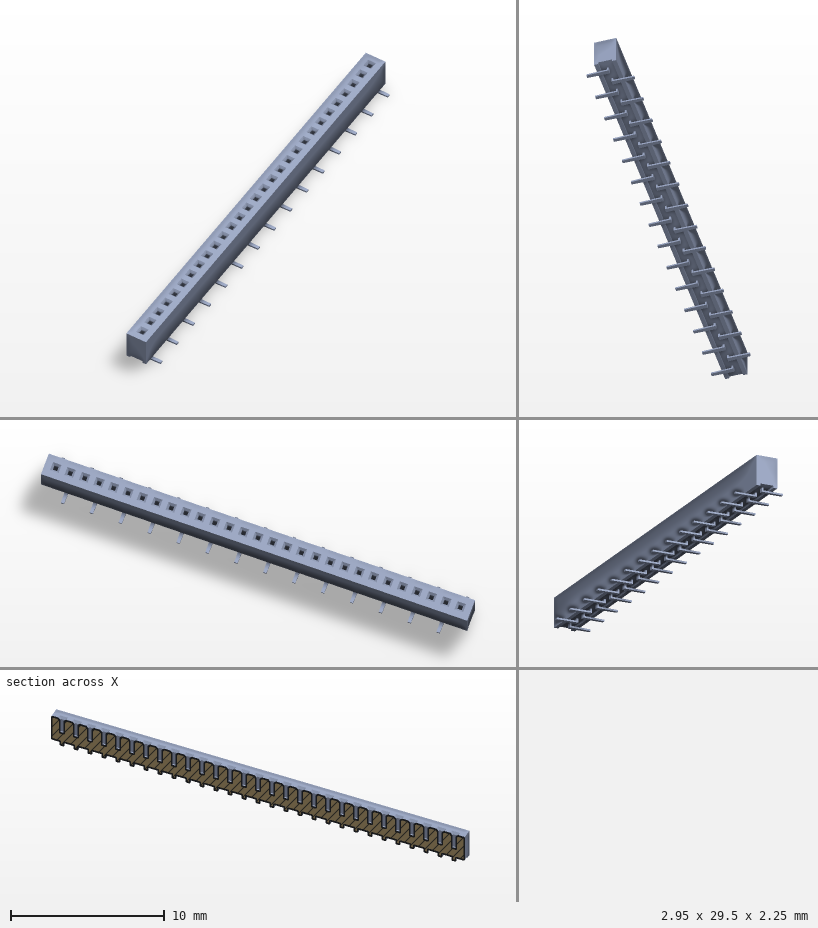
import cadquery as cq

contact_count = 29
body_length = 29.5
pitch = body_length / (contact_count + 0.5)
body_width = 1.5
total_width = 2.95
total_height = 2.25

body_bottom = 0.15
channel_width = 0.95
channel_top = 0.3

lead_in_size = 0.6
lead_in_depth = 0.15
socket_size = 0.3
socket_depth = 1.18

root_width = 0.3
tip_width = 0.22
tail_thickness = 0.12
post_thickness = 0.12


def contact_y(index):
    """Place of a contact along the row, which is centred on the origin."""
    return (index - (contact_count - 1) / 2) * pitch


def make_body():
    body = cq.Workplane("XY", origin=(0, 0, body_bottom)).box(
        body_width, body_length, total_height - body_bottom, centered=(True, True, False)
    )
    channel = cq.Workplane("XY").box(
        channel_width, body_length, channel_top, centered=(True, True, False)
    )
    return body.cut(channel)


def make_opening(y):
    lead_in = (
        cq.Workplane("XY", origin=(0, y, total_height))
        .rect(lead_in_size, lead_in_size)
        .workplane(offset=-lead_in_depth)
        .rect(socket_size, socket_size)
        .loft(ruled=True)
    )
    socket = cq.Workplane("XY", origin=(0, y, total_height - socket_depth)).box(
        socket_size, socket_size, socket_depth - lead_in_depth, centered=(True, True, False)
    )
    return lead_in.union(socket)


def make_contact(y, side):
    """Post with a tail that narrows towards its tip, to +X (side = 1) or -X (side = -1)."""
    root_x = -side * post_thickness / 2
    tip_x = side * total_width / 2
    tail_outline = [
        (root_x, -root_width / 2),
        (tip_x, -tip_width / 2),
        (tip_x, tip_width / 2),
        (root_x, root_width / 2),
    ]
    tail = cq.Workplane("XY", origin=(0, y, 0)).polyline(tail_outline).close().extrude(tail_thickness)
    post = cq.Workplane("XY", origin=(0, y, 0)).box(
        post_thickness, root_width, channel_top, centered=(True, True, False)
    )
    return tail.union(post)


body = make_body()
openings = cq.Workplane("XY")
contacts = cq.Workplane("XY")
for index in range(contact_count):
    tail_side = 1 if index % 2 == 0 else -1
    openings.add(make_opening(contact_y(index)))
    contacts.add(make_contact(contact_y(index), tail_side))

result = body.cut(openings.combine(glue=True)).union(contacts.combine(glue=True))